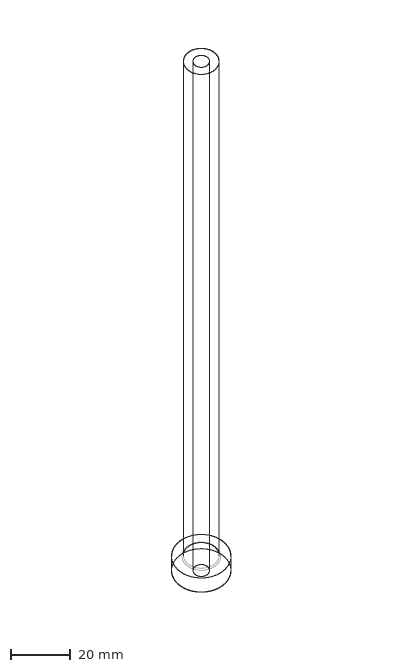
import cadquery as cq

overall_length = 250.0
head_diameter = 20.0
head_height = 7.0
shaft_diameter = 12.0
bore_diameter = 5.5
neck_fillet_radius = 0.5

head_radius = head_diameter / 2
shaft_radius = shaft_diameter / 2
bore_radius = bore_diameter / 2


def make_sleeve():
    """Headed sleeve revolved about Z, head resting on Z = 0, with a bore right through."""
    half_section = (
        cq.Workplane("XZ")
        .moveTo(bore_radius, 0)
        .lineTo(head_radius, 0)
        .lineTo(head_radius, head_height)
        .lineTo(shaft_radius + neck_fillet_radius, head_height)
        .radiusArc((shaft_radius, head_height + neck_fillet_radius), neck_fillet_radius)
        .lineTo(shaft_radius, overall_length)
        .lineTo(bore_radius, overall_length)
        .close()
    )
    return half_section.revolve(360, (0, 0, 0), (0, 1, 0))


result = make_sleeve()